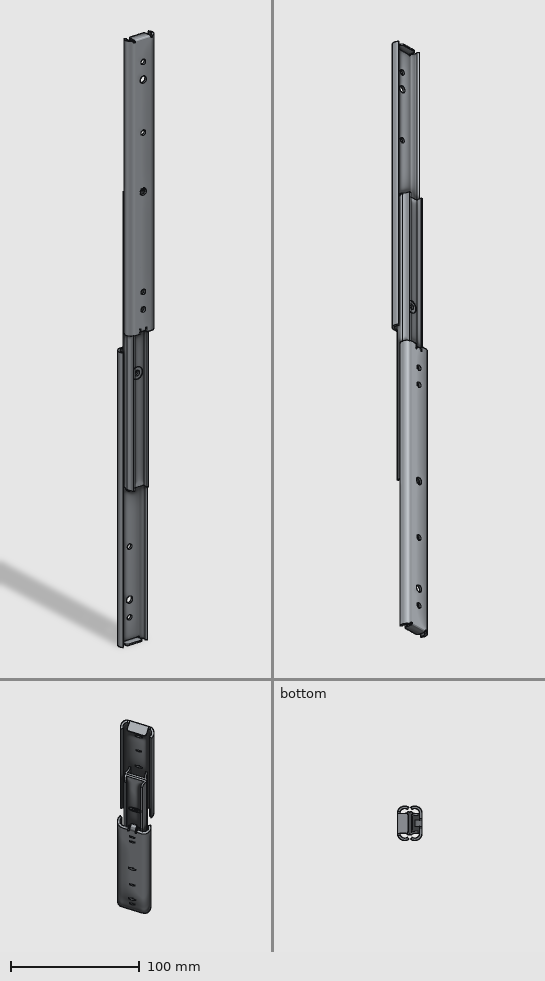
import cadquery as cq
import math

overall_x = 19.1
overall_y = 26.8
overall_z = 517.1
rail_length = 250.0

outer_wall = 2.0
flange_radius = 5.6
lip_angle = 36.0

inner_wall = 1.5
inner_depth = 6.5
inner_height = 18.2
inner_corner_radius = 0.85
groove_radius = 5.5
groove_distance = 5.0

bend_radius = 1.5
tab_thickness = 1.3
tab_half_width = 7.8
tab_reach = 8.5
tab_corner_radius = 1.75
relief_width = 1.5
relief_height = 1.5

tongue_half_width = 2.4
tongue_reach = 5.6
tongue_bend_radius = 4.0
slit_width = 1.2
slit_height = 4.0

small_hole_diameter = 4.5
large_hole_diameter = 6.0
small_hole_distances = (20.0, 80.0, 215.0, 230.0)
large_hole_distances = (35.0, 130.0)

rivet_distance = 230.5
rivet_boss_diameter = 10.4
rivet_boss_height = 0.5

web_x = -overall_x / 2
web_inner_x = web_x + outer_wall
flange_center_x = web_x + flange_radius
flange_center_y = overall_y / 2 - flange_radius
inner_start_z = (overall_z - rail_length) / 2
rivet_heights = (rivet_distance, overall_z - rivet_distance)


def box_between(x_range, y_range, z_range):
    """Box given by its limits along each axis."""
    size = [high - low for low, high in (x_range, y_range, z_range)]
    low_corner = (x_range[0], y_range[0], z_range[0])
    return cq.Workplane("XY").box(*size, centered=False).translate(low_corner)


def turned_about_middle(body):
    """The body turned half a turn about the Y axis through the middle of the slide."""
    center = (0, 0, overall_z / 2)
    return body.rotate(center, (0, 1, overall_z / 2), 180)


def hole_along_x(diameter, height):
    """Cutter for a round hole through the webs at Y = 0."""
    return (
        cq.Workplane("YZ", origin=(-overall_x, 0, height))
        .circle(diameter / 2)
        .extrude(2 * overall_x)
    )


def flange_point(radius, angle):
    """Point on the upper flange, the angle measured from straight outward toward the lip."""
    turn = math.radians(angle)
    return (
        flange_center_x + radius * math.sin(turn),
        flange_center_y + radius * math.cos(turn),
    )


def mirrored_in_y(point):
    return (point[0], -point[1])


def outer_rail_profile():
    inside_radius = flange_radius - outer_wall
    lip_outside = flange_point(flange_radius, lip_angle)
    lip_inside = flange_point(inside_radius, lip_angle)
    middle_outside = flange_point(flange_radius, 0)
    middle_inside = flange_point(inside_radius, 0)
    return (
        cq.Workplane("XY")
        .moveTo(web_x, -flange_center_y)
        .lineTo(web_x, flange_center_y)
        .threePointArc(middle_outside, lip_outside)
        .lineTo(*lip_inside)
        .threePointArc(middle_inside, (web_inner_x, flange_center_y))
        .lineTo(web_inner_x, -flange_center_y)
        .threePointArc(mirrored_in_y(middle_inside), mirrored_in_y(lip_inside))
        .lineTo(*mirrored_in_y(lip_outside))
        .threePointArc(mirrored_in_y(middle_outside), (web_x, -flange_center_y))
        .close()
    )


def add_end_tab(rail):
    """Fold the bottom end of the web into the channel, with a relief at each side of the fold."""
    half_width = tab_half_width
    tab = box_between(
        (web_x, web_x + tab_reach), (-half_width, half_width), (0, tab_thickness)
    ).edges("|Z and >X").fillet(tab_corner_radius)
    for side in (-1, 1):
        middle = side * (half_width + relief_width / 2)
        relief = box_between(
            (web_x, flange_center_x),
            (middle - relief_width / 2, middle + relief_width / 2),
            (0, relief_height),
        )
        rail = rail.cut(relief)
    bent_corner = cq.selectors.BoxSelector(
        (web_x - bend_radius / 2, -half_width, -bend_radius / 2),
        (web_x + bend_radius / 2, half_width, bend_radius / 2),
    )
    return rail.union(tab).edges(bent_corner).edges("|Y").fillet(bend_radius)


def add_stop_tongue(rail):
    """Bend a tongue of web into the channel at the top end, between two slits."""
    half_width = tongue_half_width
    tongue = box_between(
        (web_x, web_x + tongue_reach),
        (-half_width, half_width),
        (rail_length - outer_wall, rail_length),
    )
    inside_bend = tongue_bend_radius - outer_wall
    bend_fill = (
        cq.Workplane("XZ", origin=(0, half_width, 0))
        .moveTo(web_inner_x, rail_length - outer_wall)
        .lineTo(web_inner_x + inside_bend, rail_length - outer_wall)
        .radiusArc((web_inner_x, rail_length - tongue_bend_radius), -inside_bend)
        .close()
        .extrude(2 * half_width)
    )
    outside_corner = (
        cq.Workplane("XZ", origin=(0, half_width, 0))
        .moveTo(web_x, rail_length)
        .lineTo(web_x + tongue_bend_radius, rail_length)
        .radiusArc((web_x, rail_length - tongue_bend_radius), -tongue_bend_radius)
        .close()
        .extrude(2 * half_width)
    )
    for side in (-1, 1):
        middle = side * (half_width + slit_width / 2)
        slit = box_between(
            (web_x, web_inner_x),
            (middle - slit_width / 2, middle + slit_width / 2),
            (rail_length - slit_height, rail_length),
        )
        rail = rail.cut(slit)
    return rail.union(tongue).union(bend_fill).cut(outside_corner)


def make_outer_rail():
    """Lower outer rail, its web on the -X side and its tabbed end at Z = 0."""
    rail = outer_rail_profile().extrude(rail_length)
    rail = add_end_tab(rail)
    rail = add_stop_tongue(rail)
    for distance in small_hole_distances:
        rail = rail.cut(hole_along_x(small_hole_diameter, distance))
    for distance in large_hole_distances:
        rail = rail.cut(hole_along_x(large_hole_diameter, distance))
    return rail


def inner_rail_profile():
    """Channel with its web back at X = 0, open toward -X."""
    corner_x = -inner_corner_radius
    corner_y = inner_height / 2 - inner_corner_radius
    groove_x = -groove_distance
    center_gap = inner_corner_radius + groove_radius
    groove_y = corner_y + math.sqrt(center_gap**2 - (corner_x - groove_x) ** 2)
    inside_groove_radius = groove_radius + inner_wall
    outside_turn = math.asin((corner_x - groove_x) / center_gap)
    inside_turn = math.asin((groove_distance - inner_wall) / inside_groove_radius)

    def on_groove(radius, turn):
        """Point on a groove arc, the turn measured from its bottom toward the web."""
        return (
            groove_x + radius * math.sin(turn),
            groove_y - radius * math.cos(turn),
        )

    groove_bottom = (groove_x, groove_y - groove_radius)
    groove_back = (groove_x, groove_y - inside_groove_radius)
    tip_outside = (-inner_depth, groove_bottom[1])
    tip_inside = (-inner_depth, groove_back[1])
    outside_joint = on_groove(groove_radius, outside_turn)
    inside_corner = on_groove(inside_groove_radius, inside_turn)
    outside_curve = on_groove(groove_radius, outside_turn / 2)
    inside_curve = on_groove(inside_groove_radius, inside_turn / 2)
    corner_crest = (corner_x, corner_y + inner_corner_radius)
    return (
        cq.Workplane("XY")
        .moveTo(0, -corner_y)
        .lineTo(0, corner_y)
        .threePointArc(corner_crest, outside_joint)
        .threePointArc(outside_curve, groove_bottom)
        .lineTo(*tip_outside)
        .lineTo(*tip_inside)
        .lineTo(*groove_back)
        .threePointArc(inside_curve, inside_corner)
        .lineTo(*mirrored_in_y(inside_corner))
        .threePointArc(mirrored_in_y(inside_curve), mirrored_in_y(groove_back))
        .lineTo(*mirrored_in_y(tip_inside))
        .lineTo(*mirrored_in_y(tip_outside))
        .lineTo(*mirrored_in_y(groove_bottom))
        .threePointArc(mirrored_in_y(outside_curve), mirrored_in_y(outside_joint))
        .threePointArc(mirrored_in_y(corner_crest), (0, -corner_y))
        .close()
    )


def make_inner_rail():
    """Inner rail on the -X side, with rivet bosses on the inside of its web."""
    rail = inner_rail_profile().extrude(rail_length).translate((0, 0, inner_start_z))
    for height in rivet_heights:
        boss = (
            cq.Workplane("YZ", origin=(-inner_wall - rivet_boss_height, 0, height))
            .circle(rivet_boss_diameter / 2)
            .extrude(rivet_boss_height)
        )
        rail = rail.union(boss)
    for height in rivet_heights:
        rail = rail.cut(hole_along_x(small_hole_diameter, height))
    return rail


solids = []
for rail in (make_outer_rail(), make_inner_rail()):
    solids.append(rail.val())
    solids.append(turned_about_middle(rail).val())

result = cq.Compound.makeCompound(solids)